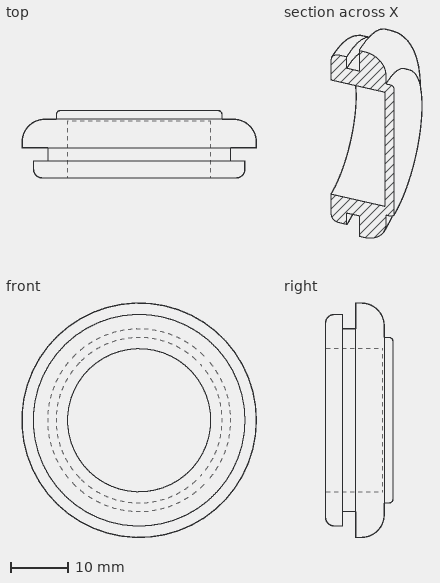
import cadquery as cq

cap_diameter = 41.0
flange_diameter = 37.0
groove_diameter = 32.0
boss_diameter = 29.0
bore_diameter = 25.0

total_length = 11.8
flange_thickness = 3.0
groove_width = 2.3
boss_height = 1.5
cap_thickness = total_length - flange_thickness - groove_width - boss_height
bore_depth = 10.0

flange_round = 1.5
cap_round = 4.0
boss_round = 0.75


def disc(diameter, start, length):
    """Solid disc around the Y axis, running from start toward +Y."""
    plane = cq.Plane(origin=(0, start, 0), xDir=(1, 0, 0), normal=(0, 1, 0))
    return cq.Workplane(plane).circle(diameter / 2).extrude(length)


groove_start = flange_thickness
cap_start = groove_start + groove_width
boss_start = cap_start + cap_thickness

flange = disc(flange_diameter, 0, flange_thickness).faces("<Y").edges().fillet(flange_round)
core = disc(groove_diameter, groove_start, groove_width)
cap = disc(cap_diameter, cap_start, cap_thickness).faces(">Y").edges().fillet(cap_round)
boss = disc(boss_diameter, boss_start, boss_height).faces(">Y").edges().fillet(boss_round)

bore = disc(bore_diameter, 0, bore_depth)

plug = flange.union(core).union(cap).union(boss).cut(bore)

result = plug.translate((0, -total_length / 2, 0))